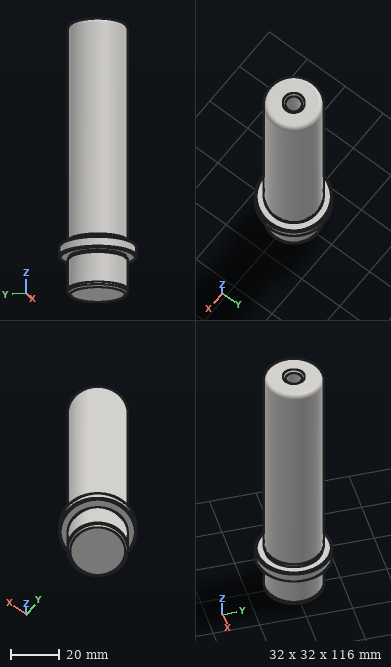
import cadquery as cq
import math

total_length = 116
flange_bottom = 16.0
flange_thickness = 5.0
flange_top = flange_bottom + flange_thickness

shaft_radius = 25.0 / 2
flange_radius = 32.0 / 2
upper_groove_radius = 12.1
lower_groove_radius = 11.8

top_fillet = 2.0
flange_chamfer = 0.6
upper_groove_width = 1.6
upper_groove_chamfer = 0.2
lower_groove_width = 0.7
lower_groove_chamfer = 0.5
foot_chamfer = 1.0
lead_length = 1.0
lead_relief = 0.06

hole_radius = 6.8 / 2
countersink_radius = 9.0 / 2
hole_depth = 20.0
drill_point_angle = 118


def turned_body():
    """Revolve the half profile, given as (radius, height), about Z."""
    upper_groove_top = flange_top + upper_groove_width
    lower_groove_bottom = flange_bottom - lower_groove_width
    lead_radius = shaft_radius - lead_relief
    profile = (
        cq.Workplane("XZ")
        .moveTo(0, 0)
        .lineTo(lead_radius - foot_chamfer, 0)
        .lineTo(lead_radius, foot_chamfer)
        .lineTo(lead_radius, foot_chamfer + lead_length)
        .lineTo(shaft_radius, foot_chamfer + lead_length)
        .lineTo(shaft_radius, lower_groove_bottom - lower_groove_chamfer)
        .lineTo(lower_groove_radius, lower_groove_bottom)
        .lineTo(lower_groove_radius, flange_bottom)
        .lineTo(flange_radius - flange_chamfer, flange_bottom)
        .lineTo(flange_radius, flange_bottom + flange_chamfer)
        .lineTo(flange_radius, flange_top - flange_chamfer)
        .lineTo(flange_radius - flange_chamfer, flange_top)
        .lineTo(upper_groove_radius, flange_top)
        .lineTo(upper_groove_radius, upper_groove_top)
        .lineTo(shaft_radius, upper_groove_top + upper_groove_chamfer)
        .lineTo(shaft_radius, total_length)
        .lineTo(0, total_length)
        .close()
    )
    body = profile.revolve(360, (0, 0, 0), (0, 1, 0))
    return body.faces(">Z").edges().fillet(top_fillet)


def hole_cutter():
    """Drilled hole with a conical bottom and a 45 degree countersink."""
    countersink_depth = countersink_radius - hole_radius
    point_depth = hole_radius / math.tan(math.radians(drill_point_angle / 2))
    hole_floor = total_length - hole_depth
    profile = (
        cq.Workplane("XZ")
        .moveTo(0, total_length)
        .lineTo(countersink_radius, total_length)
        .lineTo(hole_radius, total_length - countersink_depth)
        .lineTo(hole_radius, hole_floor)
        .lineTo(0, hole_floor - point_depth)
        .close()
    )
    return profile.revolve(360, (0, 0, 0), (0, 1, 0))


result = turned_body().cut(hole_cutter())